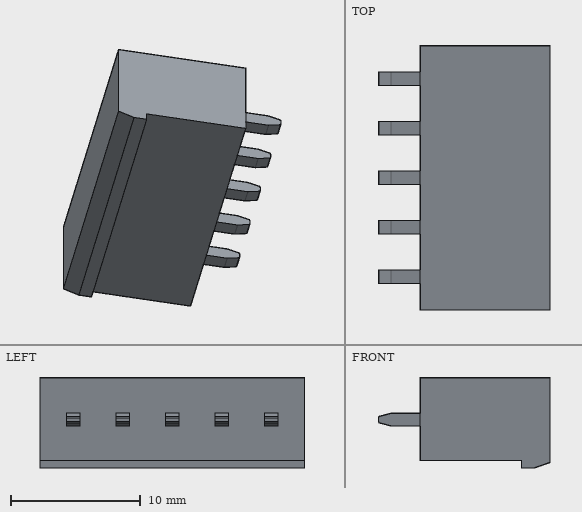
import cadquery as cq

housing_depth = 10.02
housing_length = 20.37
housing_height = 6.4

lip_drop = 0.57
lip_depth = 2.22
lip_flat_depth = 1.0
lip_front_drop = 0.15

pin_count = 5
pin_pitch = 3.8
pin_length = 3.22
pin_center_height = 3.15
pin_width = 1.05
pin_height = 1.0
pin_taper_length = 1.0
pin_taper_height = 0.5
pin_tip_height = 0.26
pin_tip_length = 0.06


def make_housing():
    """Block and full-length lip as one extruded XZ profile."""
    lip_start = housing_depth - lip_depth
    profile = (
        cq.Workplane("XZ")
        .moveTo(0, housing_height)
        .lineTo(0, 0)
        .lineTo(lip_start, 0)
        .lineTo(lip_start, -lip_drop)
        .lineTo(lip_start + lip_flat_depth, -lip_drop)
        .lineTo(housing_depth, -lip_front_drop)
        .lineTo(housing_depth, housing_height)
        .close()
    )
    return profile.extrude(housing_length / 2, both=True)


def make_pin(center_y):
    """Rectangular pin tapered in height, with a small bevel around its blunt tip."""
    tip_x = -pin_length
    upper_half = [
        (0, pin_height / 2),
        (tip_x + pin_taper_length, pin_height / 2),
        (tip_x + pin_tip_length, pin_taper_height / 2),
        (tip_x, pin_tip_height / 2),
    ]
    lower_half = [(x, -z) for x, z in reversed(upper_half)]
    return (
        cq.Workplane("XZ", origin=(0, center_y, pin_center_height))
        .polyline(upper_half + lower_half)
        .close()
        .extrude(pin_width / 2, both=True)
    )


result = make_housing()
for index in range(pin_count):
    pin_y = (index - (pin_count - 1) / 2) * pin_pitch
    result = result.union(make_pin(pin_y))